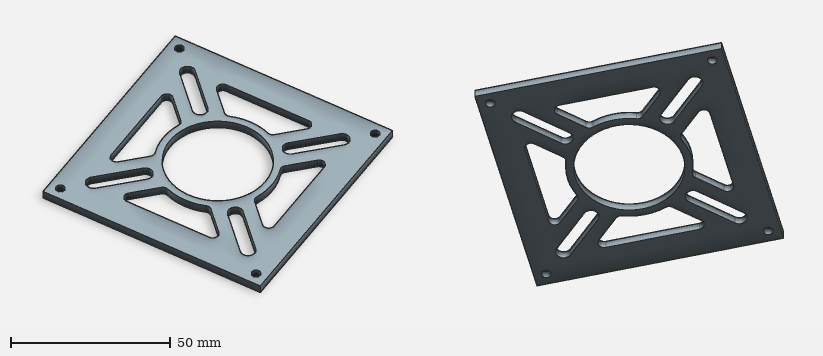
import cadquery as cq
import math

PLATE_SIDE = 80.0
PLATE_THICKNESS = 3.0

BORE_DIAMETER = 35.0
RING_OUTER_RADIUS = 20.0

MOUNT_HOLE_DIAMETER = 3.0
MOUNT_HOLE_EDGE_DISTANCE = 4.0
MOUNT_HOLE_PITCH = PLATE_SIDE - 2 * MOUNT_HOLE_EDGE_DISTANCE

DIAGONAL_ANGLE = 45
SLOT_WIDTH = 5.0
SLOT_INNER_CENTRE = 16.58
SLOT_OUTER_CENTRE = 28.46

FRAME_WIDTH = 10.0
WINDOW_OUTER_DISTANCE = PLATE_SIDE / 2 - FRAME_WIDTH
DIAGONAL_OFFSET = 10.0
WINDOW_FILLET = 2.0

QUARTER_TURNS = [0, 90, 180, 270]


def make_plate():
    """Square plate, centred on the origin in X and Y, resting on Z = 0."""
    return cq.Workplane("XY").rect(PLATE_SIDE, PLATE_SIDE).extrude(PLATE_THICKNESS)


def make_round_holes():
    """Central bore and four corner mounting holes."""
    bore = cq.Workplane("XY").circle(BORE_DIAMETER / 2).extrude(PLATE_THICKNESS)
    mounts = (
        cq.Workplane("XY")
        .rect(MOUNT_HOLE_PITCH, MOUNT_HOLE_PITCH, forConstruction=True)
        .vertices()
        .circle(MOUNT_HOLE_DIAMETER / 2)
        .extrude(PLATE_THICKNESS)
    )
    return bore.union(mounts)


def make_diagonal_slot():
    """Round-ended slot along the +X +Y diagonal."""
    middle = (SLOT_INNER_CENTRE + SLOT_OUTER_CENTRE) / 2
    centre_spacing = math.sqrt(2) * (SLOT_OUTER_CENTRE - SLOT_INNER_CENTRE)
    return (
        cq.Workplane("XY")
        .center(middle, middle)
        .slot2D(centre_spacing + SLOT_WIDTH, SLOT_WIDTH, DIAGONAL_ANGLE)
        .extrude(PLATE_THICKNESS)
    )


def make_window():
    """Window on the +Y side: straight outer edge, 45 degree sides, arc along the ring."""
    outer_half_width = WINDOW_OUTER_DISTANCE - DIAGONAL_OFFSET
    inner_half_width = (math.sqrt(2 * RING_OUTER_RADIUS**2 - DIAGONAL_OFFSET**2) - DIAGONAL_OFFSET) / 2
    inner_y = inner_half_width + DIAGONAL_OFFSET
    window = (
        cq.Workplane("XY")
        .moveTo(-outer_half_width, WINDOW_OUTER_DISTANCE)
        .lineTo(outer_half_width, WINDOW_OUTER_DISTANCE)
        .lineTo(inner_half_width, inner_y)
        .threePointArc((0, RING_OUTER_RADIUS), (-inner_half_width, inner_y))
        .close()
        .extrude(PLATE_THICKNESS)
    )
    return window.edges("|Z").fillet(WINDOW_FILLET)


def cut_around_centre(plate, cutter):
    """Cut the same opening at each quarter turn about Z."""
    for angle in QUARTER_TURNS:
        plate = plate.cut(cutter.rotate((0, 0, 0), (0, 0, 1), angle))
    return plate


result = make_plate().cut(make_round_holes())
result = cut_around_centre(result, make_diagonal_slot())
result = cut_around_centre(result, make_window())